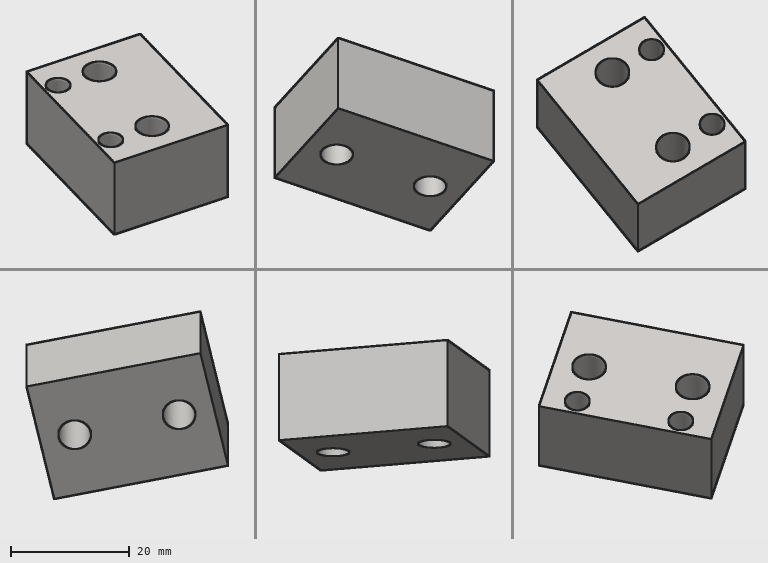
import cadquery as cq

length = 30.0
width = 22.0
height = 15.0

hole_spacing = 18.0
mouth_flare = 0.1
mouth_depth = 0.5

through_diameter = 5.5
through_from_front = 10.7

blind_diameter = 4.0
blind_from_front = 2.7
blind_depth = 9.0


def hole_cutter(diameter, depth):
    """Revolved cutter for a hole with a conical mouth, sunk from the top face."""
    radius = diameter / 2
    return (
        cq.Workplane("XZ")
        .moveTo(0, height)
        .lineTo(radius + mouth_flare, height)
        .lineTo(radius, height - mouth_depth)
        .lineTo(radius, height - depth)
        .lineTo(0, height - depth)
        .close()
        .revolve(360, (0, 0, 0), (0, 1, 0))
    )


def cut_hole_pair(body, diameter, depth, from_front):
    """Cut two equal holes, mirrored about the middle of the block."""
    cutter = hole_cutter(diameter, depth)
    y = from_front - width / 2
    for x in (-hole_spacing / 2, hole_spacing / 2):
        body = body.cut(cutter.translate((x, y, 0)))
    return body


block = cq.Workplane("XY").box(length, width, height, centered=(True, True, False))
block = cut_hole_pair(block, through_diameter, height, through_from_front)
result = cut_hole_pair(block, blind_diameter, blind_depth, blind_from_front)